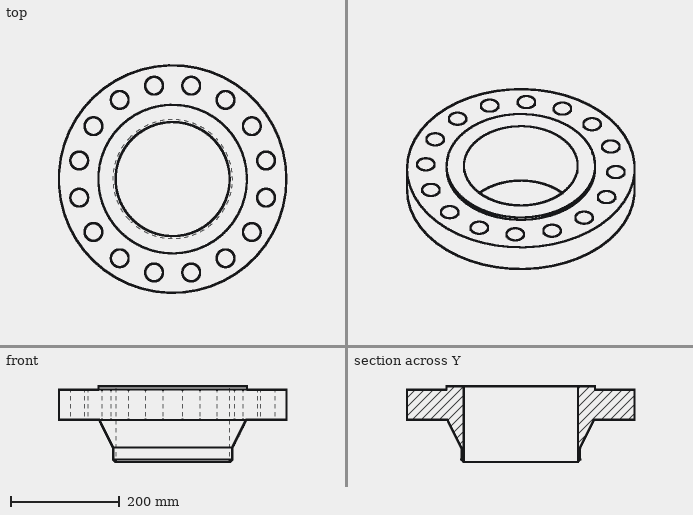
import cadquery as cq

flange_diameter = 419.0
flange_thickness = 55.7

face_diameter = 273.5
face_height = 6.3

total_height = 139.5
hub_diameter = 270.7
hub_height = 51.0
neck_diameter = 219.5
bevel_height = 4.5
bevel_width = 4.5
bore_diameter = 209.5

bolt_count = 16
bolt_circle_diameter = 350.5
bolt_hole_diameter = 32.3

flange_top = total_height - face_height
flange_bottom = flange_top - flange_thickness
neck_top = flange_bottom - hub_height


def make_body():
    """Revolve the half section of the bored flange about Z."""
    bore_radius = bore_diameter / 2
    neck_radius = neck_diameter / 2
    section = [
        (bore_radius, 0),
        (neck_radius - bevel_width, 0),
        (neck_radius, bevel_height),
        (neck_radius, neck_top),
        (hub_diameter / 2, flange_bottom),
        (flange_diameter / 2, flange_bottom),
        (flange_diameter / 2, flange_top),
        (face_diameter / 2, flange_top),
        (face_diameter / 2, total_height),
        (bore_radius, total_height),
    ]
    return cq.Workplane("XZ").polyline(section).close().revolve(360, (0, 0), (0, 1))


def make_bolt_holes():
    """Cylinders that pierce the flange ring."""
    half_spacing = 360 / bolt_count / 2
    return (
        cq.Workplane("XY", origin=(0, 0, flange_bottom))
        .polarArray(bolt_circle_diameter / 2, half_spacing, 360, bolt_count)
        .circle(bolt_hole_diameter / 2)
        .extrude(flange_thickness)
    )


result = make_body().cut(make_bolt_holes())